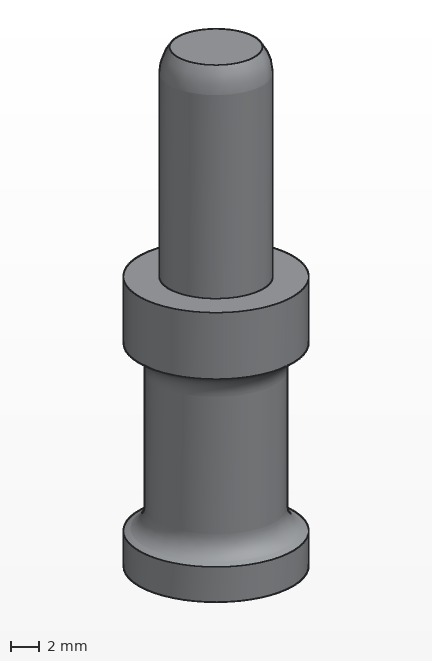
import cadquery as cq
import math

flange_radius = 6.498
neck_radius = 5.0
pin_radius = 4.0

total_height = 39.5
base_top = 2.7
neck_bottom = 4.55
neck_top = 15.0
collar_bottom = 17.0
collar_top = 22.05

tip_height = 1.98
tip_arc_radius = 3.0

flare_arc_radius = 1.9
flare_arc_height = 1.65


def arc_offset(arc_radius, height):
    """Radial departure of an arc from its vertical tangent after a given height."""
    return arc_radius - math.sqrt(arc_radius**2 - height**2)


def flare_point(start_height, direction, height):
    """Point on a neck flare; direction is 1 for upward and -1 for downward."""
    radius = neck_radius + arc_offset(flare_arc_radius, height)
    return (radius, start_height + direction * height)


def tip_point(height):
    """Point on the rounded tip at a height above the straight pin."""
    radius = pin_radius - arc_offset(tip_arc_radius, height)
    return (radius, total_height - tip_height + height)


profile = (
    cq.Workplane("XZ")
    .lineTo(flange_radius, 0)
    .lineTo(flange_radius, base_top)
    .lineTo(*flare_point(neck_bottom, -1, flare_arc_height))
    .threePointArc(flare_point(neck_bottom, -1, flare_arc_height / 2), (neck_radius, neck_bottom))
    .lineTo(neck_radius, neck_top)
    .threePointArc(
        flare_point(neck_top, 1, flare_arc_height / 2),
        flare_point(neck_top, 1, flare_arc_height),
    )
    .lineTo(flange_radius, collar_bottom)
    .lineTo(flange_radius, collar_top)
    .lineTo(pin_radius, collar_top)
    .lineTo(pin_radius, total_height - tip_height)
    .threePointArc(tip_point(tip_height / 2), tip_point(tip_height))
    .lineTo(0, total_height)
    .close()
)

result = profile.revolve(360, (0, 0, 0), (0, 1, 0))